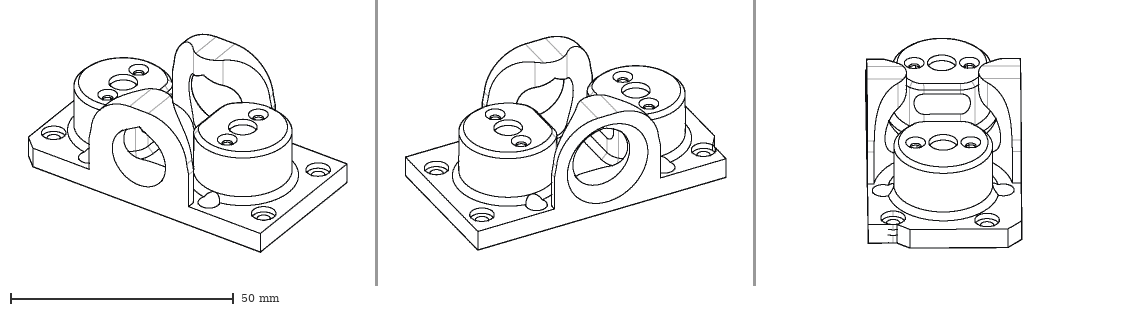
import cadquery as cq
import math


bevel_angle = 45.0

plate_length = 65.25
plate_left = -32.25
plate_right = plate_left + plate_length
plate_front = -17.55
plate_back = 16.95
plate_height = 5.0
corner_cut_x = 3.4
corner_cut_y = 3.2
step_depth = 2.1
step_upper_y = 10.5
step_lower_y = 7.65

screw_positions = [(-27.4, 11.35), (-28.5, -9.7), (29.0, 11.35), (29.0, -10.3)]
screw_hole_diameter = 3.0
screw_head_diameter = 5.5
screw_head_depth = 1.45
screw_seat_bottom = 2.1

boss_offset = 16.25
boss_radius = 11.1
boss_flat = 9.5
boss_corner_radius = 4.8
boss_top = 17.9
boss_chamfer = 1.05
flare_size = 1.45
bore_diameter = 6.4
boss_screw_offset = 6.2
boss_screw_diameter = 2.4
countersink_diameter = 4.45

cavity_radius = 9.5
cavity_half_width = 7.5
boss_roof = 1.5

side_hole_diameter = 4.8
side_hole_offset = 13.5

arch_half_width = 13.5
arch_top = 26.0
arch_flat_half_width = 2.55
arch_side_height = 13.6
arch_shoulder_half_width = 13.0
arch_shoulder_height = 16.25
arch_crown_radius = 10.6
clearance_radius = 15.8
nose_radius = 5.2

opening_radius = 7.25
opening_height = 13.05
opening_flare = 3.0
opening_roof_angle = math.radians(30)


def make_plate():
    step_x = plate_left + step_depth
    outline = [
        (plate_left + corner_cut_x, plate_front),
        (plate_right, plate_front),
        (plate_right, plate_back),
        (step_x, plate_back),
        (step_x, step_upper_y),
        (plate_left, step_lower_y),
        (plate_left, plate_front + corner_cut_y),
    ]
    return cq.Workplane("XY").polyline(outline).close().extrude(plate_height)


def make_arch_profile():
    """Solid with the arch outline, running the full depth of the plate."""
    chord_x = arch_shoulder_half_width - arch_flat_half_width
    chord_z = arch_top - arch_shoulder_height
    chord = math.hypot(chord_x, chord_z)
    sagitta = arch_crown_radius - math.sqrt(arch_crown_radius**2 - (chord / 2) ** 2)
    crown_x = (arch_shoulder_half_width + arch_flat_half_width) / 2 + sagitta * chord_z / chord
    crown_z = (arch_top + arch_shoulder_height) / 2 + sagitta * chord_x / chord
    return (
        cq.Workplane("XZ", origin=(0, plate_back, 0))
        .moveTo(-arch_half_width, 0)
        .lineTo(arch_half_width, 0)
        .lineTo(arch_half_width, arch_side_height)
        .lineTo(arch_shoulder_half_width, arch_shoulder_height)
        .threePointArc((crown_x, crown_z), (arch_flat_half_width, arch_top))
        .lineTo(-arch_flat_half_width, arch_top)
        .threePointArc((-crown_x, crown_z), (-arch_shoulder_half_width, arch_shoulder_height))
        .lineTo(-arch_half_width, arch_side_height)
        .close()
        .extrude(plate_back - plate_front)
    )


def make_arch_footprint(side, edge_y):
    """Plan of one arch: hollow around both bosses, with a rounded nose between them."""
    nose_y = math.sqrt((clearance_radius + nose_radius) ** 2 - boss_offset**2)
    touch = clearance_radius / (clearance_radius + nose_radius)
    touch_x = boss_offset * (1 - touch)
    touch_y = nose_y * touch
    end_x = arch_half_width
    end_angle = math.acos((boss_offset - end_x) / clearance_radius)
    touch_angle = math.atan2(touch_y, boss_offset - touch_x)
    middle_angle = (end_angle + touch_angle) / 2
    end_y = clearance_radius * math.sin(end_angle)
    middle_x = boss_offset - clearance_radius * math.cos(middle_angle)
    middle_y = clearance_radius * math.sin(middle_angle)
    return (
        cq.Workplane("XY")
        .moveTo(-end_x, edge_y)
        .lineTo(-end_x, side * end_y)
        .threePointArc((-middle_x, side * middle_y), (-touch_x, side * touch_y))
        .threePointArc((0, side * (nose_y - nose_radius)), (touch_x, side * touch_y))
        .threePointArc((middle_x, side * middle_y), (end_x, side * end_y))
        .lineTo(end_x, edge_y)
        .close()
        .extrude(arch_top)
    )


def make_opening():
    """Round hole whose roof is two tangent planes that meet in a ridge."""
    roof_x = opening_radius * math.sin(opening_roof_angle)
    roof_z = opening_height + opening_radius * math.cos(opening_roof_angle)
    ridge_z = opening_height + opening_radius / math.cos(opening_roof_angle)
    return (
        cq.Workplane("XZ", origin=(0, plate_back, 0))
        .moveTo(-roof_x, roof_z)
        .lineTo(0, ridge_z)
        .lineTo(roof_x, roof_z)
        .threePointArc((0, opening_height - opening_radius), (-roof_x, roof_z))
        .close()
        .extrude(plate_back - plate_front)
    )


def make_opening_flare():
    """Cone that widens the opening at the outer face of the back arch."""
    plane = cq.Workplane("XZ", origin=(0, plate_back, opening_height))
    return plane.circle(opening_radius + opening_flare).extrude(opening_flare, taper=bevel_angle)


def make_arches():
    footprints = make_arch_footprint(-1, plate_front).union(make_arch_footprint(1, plate_back))
    return make_arch_profile().intersect(footprints)


def draw_boss_outline(base_z, growth):
    """Outline of a boss centred on the origin, flat on +X, moved outwards by growth."""
    radius = boss_radius + growth
    flat_x = boss_flat + growth
    corner_radius = boss_corner_radius + growth
    corner_x = boss_flat - boss_corner_radius
    corner_y = math.sqrt((boss_radius - boss_corner_radius) ** 2 - corner_x**2)
    touch_angle = math.atan2(corner_y, corner_x)
    touch_x = radius * math.cos(touch_angle)
    touch_y = radius * math.sin(touch_angle)
    bulge_x = corner_x + corner_radius * math.cos(touch_angle / 2)
    bulge_y = corner_y + corner_radius * math.sin(touch_angle / 2)
    return (
        cq.Workplane("XY", origin=(0, 0, base_z))
        .moveTo(flat_x, -corner_y)
        .lineTo(flat_x, corner_y)
        .threePointArc((bulge_x, bulge_y), (touch_x, touch_y))
        .threePointArc((-radius, 0), (touch_x, -touch_y))
        .threePointArc((bulge_x, -bulge_y), (flat_x, -corner_y))
        .close()
    )


def make_boss():
    column = draw_boss_outline(0, 0).extrude(boss_top).faces(">Z").chamfer(boss_chamfer)
    flare = draw_boss_outline(plate_height, flare_size).extrude(flare_size, taper=bevel_angle)
    return column.union(flare)


def make_boss_cuts():
    """Hollow, centre bore, countersunk screw holes and side holes of one boss."""
    cavity_height = boss_top - boss_roof
    cavity_sides = cq.Workplane("XY").rect(2 * cavity_half_width, 2 * cavity_radius).extrude(cavity_height)
    cavity = cq.Workplane("XY").circle(cavity_radius).extrude(cavity_height).intersect(cavity_sides)
    bore = cq.Workplane("XY").circle(bore_diameter / 2).extrude(boss_top)
    screw_points = [(0, boss_screw_offset), (0, -boss_screw_offset)]
    screw_holes = (
        cq.Workplane("XY")
        .pushPoints(screw_points)
        .circle(boss_screw_diameter / 2)
        .extrude(boss_top)
    )
    countersink_depth = (countersink_diameter - boss_screw_diameter) / 2
    countersinks = (
        cq.Workplane("XY", origin=(0, 0, boss_top))
        .pushPoints(screw_points)
        .circle(countersink_diameter / 2)
        .extrude(-countersink_depth, taper=bevel_angle)
    )
    side_holes = (
        cq.Workplane("XY")
        .pushPoints([(0, side_hole_offset), (0, -side_hole_offset)])
        .circle(side_hole_diameter / 2)
        .extrude(plate_height + flare_size)
    )
    return cavity.union(bore).union(screw_holes).union(countersinks).union(side_holes)


def make_corner_screw_cuts():
    def bores(diameter, bottom, top):
        plane = cq.Workplane("XY", origin=(0, 0, bottom))
        return plane.pushPoints(screw_positions).circle(diameter / 2).extrude(top - bottom)

    through = bores(screw_hole_diameter, 0, plate_height)
    upper = bores(screw_head_diameter, plate_height - screw_head_depth, plate_height)
    lower = bores(screw_head_diameter, 0, screw_seat_bottom)
    return through.union(upper).union(lower)


def place_both(shape):
    """Copies of a left-hand shape on both sides, mirrored about the YZ plane."""
    left = shape.translate((-boss_offset, 0, 0))
    return left.union(left.mirror("YZ"))


result = (
    make_plate()
    .union(make_arches())
    .union(place_both(make_boss()))
    .cut(place_both(make_boss_cuts()))
    .cut(make_corner_screw_cuts())
    .cut(make_opening())
    .cut(make_opening_flare())
)